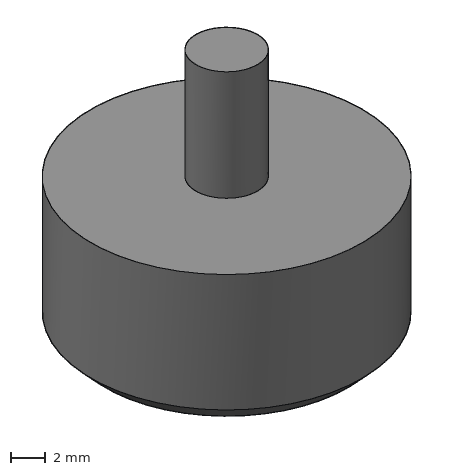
import cadquery as cq

total_height = 21.8
body_diameter = 21.2
pin_diameter = 4.8
pin_length = 8.6
chamfer_size = 1.15
tip_height = 2.85

body_radius = body_diameter / 2
pin_radius = pin_diameter / 2
cone_radius = body_radius - chamfer_size
body_bottom = tip_height + chamfer_size
body_top = total_height - pin_length

half_section = (
    cq.Workplane("XZ")
    .moveTo(0, 0)
    .lineTo(cone_radius, tip_height)
    .lineTo(body_radius, body_bottom)
    .lineTo(body_radius, body_top)
    .lineTo(pin_radius, body_top)
    .lineTo(pin_radius, total_height)
    .lineTo(0, total_height)
    .close()
)

result = half_section.revolve(360, (0, 0, 0), (0, 1, 0))